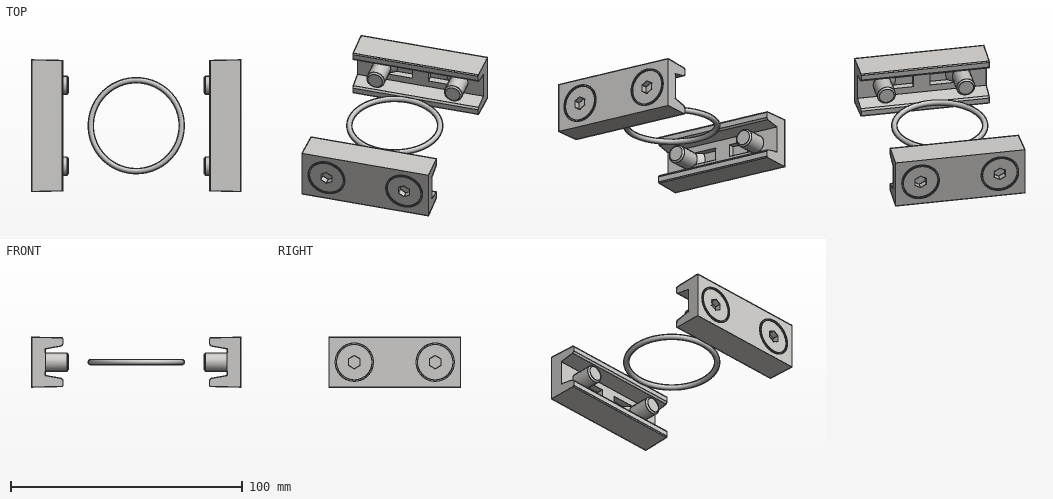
import cadquery as cq
import math

OVERALL_LENGTH = 90.4
JAW_WIDTH = 57.0
JAW_HEIGHT = 21.7
JAW_DEPTH = 13.6
DRAFT_ANGLE = 1.2

WALL_THICKNESS = 6.0
CHANNEL_FLOOR_HEIGHT = 11.5
CHANNEL_FLARE_ANGLE = 10.0
LIP_INNER_CHAMFER = 0.7
LIP_OUTER_CHAMFER = 0.45

SCREW_SPACING = 35.0
SCREW_DIAMETER = 8.0
SCREW_END = 15.9
SCREW_TIP_CHAMFER = 0.7
HEAD_DIAMETER = 15.3
HEAD_CONE_END = 5.4
GROOVE_DIAMETER = 16.5
GROOVE_DEPTH = 0.4
HEX_ACROSS_FLATS = 5.0
HEX_DEPTH = 3.0

POCKET_GAP = 7.2
POCKET_HEIGHT = 5.4
POCKET_DEPTH = 3.0

RING_OUTER_DIAMETER = 41.7
RING_SECTION_DIAMETER = 2.35

SIDES = (-1, 1)


def tapered_block():
    """Drafted block with its back at X = 0 and its front at X = JAW_DEPTH."""
    return cq.Workplane("YZ").rect(JAW_WIDTH, JAW_HEIGHT).extrude(JAW_DEPTH, taper=DRAFT_ANGLE)


def channel():
    """Flared channel between the lips, open at the front and at both ends."""
    floor_half = CHANNEL_FLOOR_HEIGHT / 2
    flare = math.tan(math.radians(CHANNEL_FLARE_ANGLE))
    chamfer_start = JAW_DEPTH - LIP_INNER_CHAMFER * math.cos(math.radians(CHANNEL_FLARE_ANGLE))
    chamfer_half = floor_half + (chamfer_start - WALL_THICKNESS) * flare
    mouth_half = floor_half + (JAW_DEPTH - WALL_THICKNESS) * flare + LIP_INNER_CHAMFER
    return (
        cq.Workplane("XZ")
        .moveTo(WALL_THICKNESS, -floor_half)
        .lineTo(chamfer_start, -chamfer_half)
        .lineTo(JAW_DEPTH, -mouth_half)
        .lineTo(JAW_DEPTH, mouth_half)
        .lineTo(chamfer_start, chamfer_half)
        .lineTo(WALL_THICKNESS, floor_half)
        .close()
        .extrude(JAW_WIDTH / 2, both=True)
    )


def floor_pocket(side):
    """Pocket in the channel floor on one side of the middle."""
    inner_end = POCKET_GAP / 2
    length = SCREW_SPACING / 2 - inner_end
    return cq.Workplane("XY").box(POCKET_DEPTH, length, POCKET_HEIGHT).translate(
        (WALL_THICKNESS - POCKET_DEPTH / 2, side * (inner_end + length / 2), 0)
    )


def screw(side):
    """Countersunk screw flush with the back of the jaw, with a 90 degree head cone."""
    shank_radius = SCREW_DIAMETER / 2
    head_radius = HEAD_DIAMETER / 2
    cone_start = HEAD_CONE_END - (head_radius - shank_radius)
    body = (
        cq.Workplane("XY")
        .moveTo(0, 0)
        .lineTo(0, head_radius)
        .lineTo(cone_start, head_radius)
        .lineTo(HEAD_CONE_END, shank_radius)
        .lineTo(SCREW_END - SCREW_TIP_CHAMFER, shank_radius)
        .lineTo(SCREW_END, shank_radius - SCREW_TIP_CHAMFER)
        .lineTo(SCREW_END, 0)
        .close()
        .revolve(360, (0, 0, 0), (1, 0, 0))
    )
    return body.translate((0, side * SCREW_SPACING / 2, 0))


def hex_socket(side):
    """Hexagon socket in a screw head, with one corner pointing up."""
    across_corners = HEX_ACROSS_FLATS / math.cos(math.pi / 6)
    return (
        cq.Workplane("YZ")
        .polygon(6, across_corners)
        .extrude(HEX_DEPTH)
        .rotate((0, 0, 0), (1, 0, 0), 90)
        .translate((0, side * SCREW_SPACING / 2, 0))
    )


def head_groove(side):
    """Narrow flat-bottomed groove around a screw head, in the back of the jaw."""
    return (
        cq.Workplane("YZ")
        .center(side * SCREW_SPACING / 2, 0)
        .circle(GROOVE_DIAMETER / 2)
        .circle(HEAD_DIAMETER / 2)
        .extrude(GROOVE_DEPTH)
    )


def jaw():
    """Clamp jaw with its two screws, its back at X = 0 and its channel facing +X."""
    body = tapered_block()
    body = body.faces(">X").edges("|Y").chamfer(LIP_OUTER_CHAMFER)
    body = body.cut(channel())
    for side in SIDES:
        body = body.cut(floor_pocket(side)).cut(head_groove(side))
        body = body.union(screw(side)).cut(hex_socket(side))
    return body


def ring():
    """Round-section ring lying flat around the Z axis."""
    section_radius = RING_SECTION_DIAMETER / 2
    centre_radius = RING_OUTER_DIAMETER / 2 - section_radius
    return (
        cq.Workplane("XZ")
        .center(centre_radius, 0)
        .circle(section_radius)
        .revolve(360, (-centre_radius, 0, 0), (-centre_radius, 1, 0))
    )


jaws = []
for turn in (0, 180):
    placed_jaw = jaw().translate((-OVERALL_LENGTH / 2, 0, 0)).rotate((0, 0, 0), (0, 0, 1), turn)
    jaws.append(placed_jaw.val())

result = cq.Compound.makeCompound([*jaws, ring().val()])